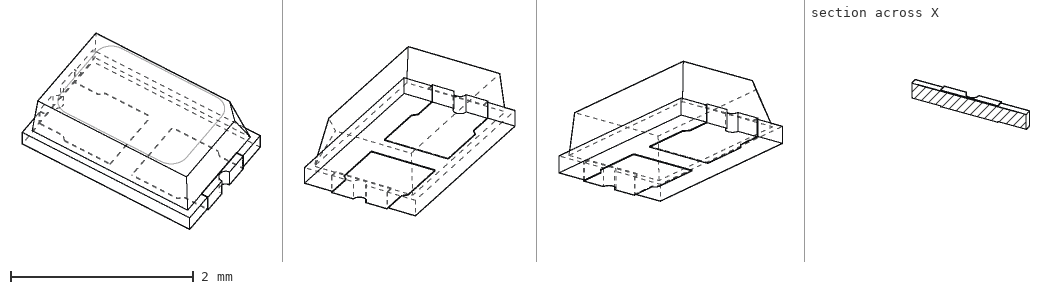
import cadquery as cq
import math

overall_length = 2.22
overall_width = 1.4
overall_height = 0.71

plating_thickness = 0.01
plating_width = 0.7
notch_radius = 0.075
pad_length = 0.968
pad_flare = 0.053
pad_flare_start = 0.315

cap_length = 2.042
cap_width = 1.243
cap_height = 0.5
draft_angle = 5.0
corner_bevel = 0.2
window_length = 1.65
window_width = 1.1
window_corner_radius = 0.2
window_depth = 0.2

board_bottom = plating_thickness
board_top = overall_height - cap_height
board_length = overall_length - 2 * plating_thickness
draft_inset = cap_height * math.tan(math.radians(draft_angle))
half_length = overall_length / 2
clip_length = (overall_length - cap_length) / 2
plating_top = board_top + plating_thickness


def make_board():
    return cq.Workplane("XY", origin=(0, 0, board_bottom)).box(
        board_length, overall_width, board_top - board_bottom, centered=(True, True, False)
    )


def make_plating():
    """Plating on the -X end: a clip from the end face in to the cap, and a pad that flares wider below."""
    clip = cq.Workplane("XY").box(clip_length, plating_width, plating_top, centered=(False, True, False))
    narrow = plating_width / 2
    wide = narrow + pad_flare
    flare_end = pad_flare_start + pad_flare
    pad = (
        cq.Workplane("XY")
        .polyline([
            (0, -narrow),
            (pad_flare_start, -narrow),
            (flare_end, -wide),
            (pad_length, -wide),
            (pad_length, wide),
            (flare_end, wide),
            (pad_flare_start, narrow),
            (0, narrow),
        ])
        .close()
        .extrude(plating_thickness)
    )
    return clip.union(pad).translate((-half_length, 0, 0))


def make_base():
    plating = make_plating()
    base = make_board().union(plating).union(plating.mirror("YZ"))
    notches = (
        cq.Workplane("XY")
        .pushPoints([(-half_length, 0), (half_length, 0)])
        .circle(notch_radius)
        .extrude(plating_top)
    )
    return base.cut(notches)


def make_corner_bevel():
    """Wedge removed at the +X +Y corner: its sloping face runs down to the cap's bottom corner."""
    top_x = cap_length / 2 - draft_inset
    top_y = cap_width / 2 - draft_inset
    bottom_corner = cq.Vector(cap_length / 2, cap_width / 2, board_top)
    top_corner = cq.Vector(top_x, top_y, overall_height)
    bevel_on_x = cq.Vector(top_x - corner_bevel, top_y, overall_height)
    bevel_on_y = cq.Vector(top_x, top_y - corner_bevel, overall_height)
    triangles = [
        (top_corner, bevel_on_x, bevel_on_y),
        (bottom_corner, bevel_on_x, bevel_on_y),
        (bottom_corner, top_corner, bevel_on_x),
        (bottom_corner, top_corner, bevel_on_y),
    ]
    faces = [cq.Face.makeFromWires(cq.Wire.makePolygon(list(t), close=True)) for t in triangles]
    return cq.Solid.makeSolid(cq.Shell.makeShell(faces))


def make_window():
    """Plug of window material, level with the top of the cap and moulded into it."""
    return (
        cq.Workplane("XY", origin=(0, 0, overall_height - window_depth))
        .rect(window_length, window_width)
        .extrude(window_depth)
        .edges("|Z")
        .fillet(window_corner_radius)
    )


def make_cap():
    block = (
        cq.Workplane("XY", origin=(0, 0, board_top))
        .rect(cap_length, cap_width)
        .extrude(cap_height, taper=draft_angle)
    )
    bevelled = block.cut(cq.Workplane(make_corner_bevel()))
    window = make_window()
    return bevelled.cut(window).union(window, clean=False)


base = make_base()
cap = make_cap()

result = cq.Compound.makeCompound([base.solids().val(), cap.solids().val()])